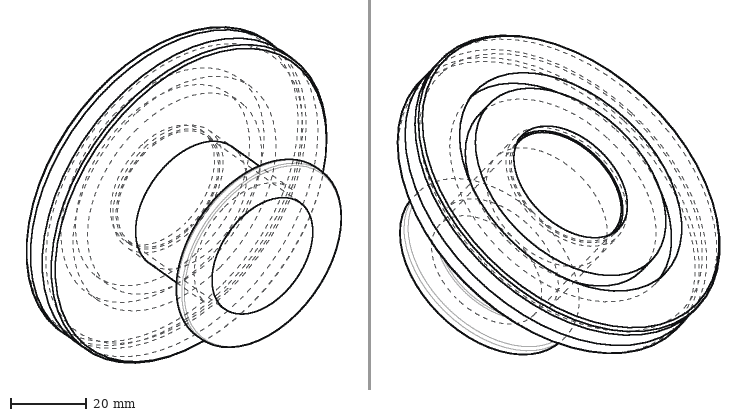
import cadquery as cq
import math

total_length = 42.0

flange_diameter = 95.0
flange_thickness = 12.0
flange_edge_chamfer = 0.8
flange_opening_diameter = 35.8
rim_groove_radius = 2.5
rim_groove_position = 4.9
face_groove_inner_diameter = 60.0
face_groove_outer_diameter = 70.0
face_groove_depth = 5.0

tube_diameter = 38.1
tube_bore_diameter = 34.8
tube_start = 2.3
clamp_diameter = 55.0
clamp_taper_angle = 15.0
clamp_taper_foot = 5.3
clamp_rim_fillet = 0.95
clamp_foot_fillet = 0.5
clamp_end_fillet = 0.5


def cylinder(diameter, start, end):
    """Round bar along X between two positions."""
    return cq.Workplane("YZ", origin=(start, 0, 0)).circle(diameter / 2).extrude(end - start)


def ring_edge(x, radius):
    """Selector for the circular edge of a given radius at a given position."""
    tolerance = 0.01
    reach = radius + tolerance
    return cq.selectors.BoxSelector(
        (x - tolerance, -reach, -reach), (x + tolerance, reach, reach), boundingbox=True
    )


def rim_groove():
    """Ring of round section, centred on the rim, that cuts a half-round groove."""
    return (
        cq.Workplane("XY")
        .center(rim_groove_position, flange_diameter / 2)
        .circle(rim_groove_radius)
        .revolve(360, (-rim_groove_position, -flange_diameter / 2), (0, -flange_diameter / 2))
    )


def face_groove():
    """Flat-bottomed annular groove in the open face."""
    outer = cylinder(face_groove_outer_diameter, 0, face_groove_depth)
    return outer.cut(cylinder(face_groove_inner_diameter, 0, face_groove_depth))


def make_flange():
    """Disc with a socket that receives the tube behind a narrower opening."""
    disc = cylinder(flange_diameter, 0, flange_thickness).edges().chamfer(flange_edge_chamfer)
    opening = cylinder(flange_opening_diameter, 0, flange_thickness)
    tube_socket = cylinder(tube_diameter, tube_start, flange_thickness)
    return disc.cut(opening).cut(tube_socket).cut(rim_groove()).cut(face_groove())


def make_clamp_tube():
    """Tube and clamping flange turned from one profile."""
    bore_radius = tube_bore_diameter / 2
    tube_radius = tube_diameter / 2
    clamp_radius = clamp_diameter / 2
    foot_x = total_length - clamp_taper_foot
    rim_x = foot_x + (clamp_radius - tube_radius) * math.tan(math.radians(clamp_taper_angle))
    body = (
        cq.Workplane("XY")
        .polyline([
            (tube_start, bore_radius),
            (tube_start, tube_radius),
            (foot_x, tube_radius),
            (rim_x, clamp_radius),
            (total_length, clamp_radius),
            (total_length, bore_radius),
        ])
        .close()
        .revolve(360, (0, 0), (1, 0))
    )
    body = body.edges(ring_edge(foot_x, tube_radius)).fillet(clamp_foot_fillet)
    body = body.edges(ring_edge(rim_x, clamp_radius)).fillet(clamp_rim_fillet)
    return body.faces(">X").edges(cq.selectors.RadiusNthSelector(-1)).fillet(clamp_end_fillet)


flange = make_flange()
clamp_tube = make_clamp_tube()

result = cq.Compound.makeCompound([flange.val(), clamp_tube.val()])